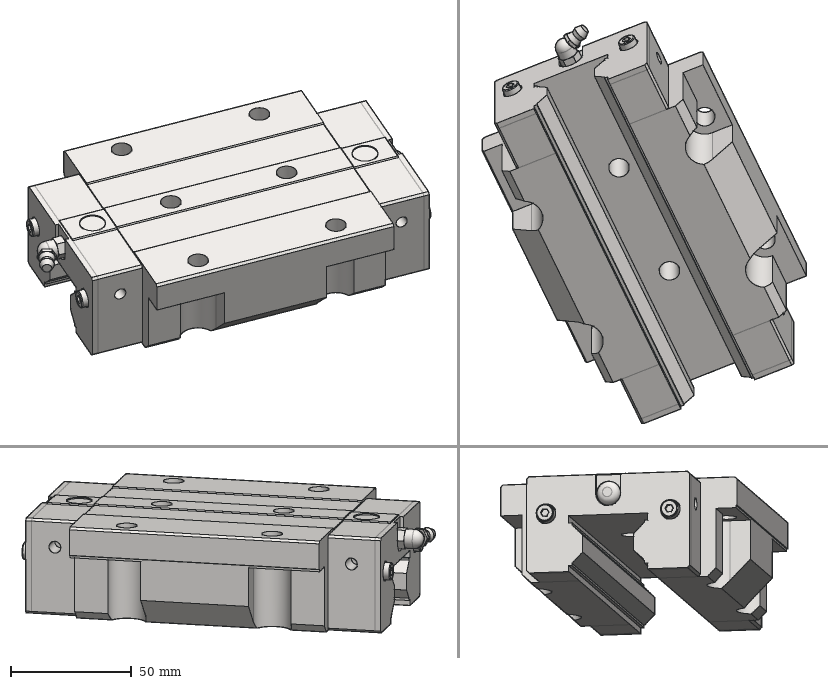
import cadquery as cq
import math

SIDES = (-1, 1)

BLOCK_WIDTH = 100.0
BLOCK_LENGTH = 106.5
BLOCK_HEIGHT = 41.5
BLOCK_EDGE_CHAMFER = 1.0
BLOCK_BOTTOM_CHAMFER = 12.5
DATUM_RELIEF_DEPTH = 0.5
DATUM_EDGE_Z = 29.5

GROOVE_DEPTH = 0.5
STRIP_HALF_WIDTH = 6.9
GROOVE_OUTER_X = 25.4

HOLE_DIAMETER = 8.5
OUTER_HOLE_PITCH_X = 82.0
OUTER_HOLE_PITCH_Y = 62.0
CENTRE_HOLE_PITCH_Y = 52.0
POCKET_RADIUS = 8.0
FLANGE_BOTTOM_Z = 28.5

CHANNEL_TOP_Z = 23.5
CHANNEL_HALF_WIDTH = 16.7
CHANNEL_STEP_HALF_WIDTH = 15.3
CHANNEL_NECK_HALF_WIDTH = 10.75
CHANNEL_STEP_TOP_Z = 20.5
CHANNEL_STEP_BOTTOM_Z = 2.5
NECK_TOP_Z = 15.1
NECK_BOTTOM_Z = 8.0

CAP_WIDTH = 69.0
CAP_HEIGHT = 40.5
CAP_CHAMFER = 1.0
CAP_LENGTH = 20.0
PLATE_THICKNESS = 2.5
CAP_PORT_DIAMETER = 10.7
CAP_PORT_DEPTH = 0.5
CAP_PORT_OFFSET = 8.0
SIDE_PORT_DIAMETER = 5.0
SIDE_PORT_DEPTH = 10.0
SIDE_PORT_OFFSET = 10.0
SIDE_PORT_Z = 28.9

SCREW_X = 26.3
SCREW_Z = 24.7
SCREW_HEAD_DIAMETER = 7.3
SCREW_HEAD_CHAMFER = 0.4
SCREW_PROTRUSION = 2.75
SCREW_CLEARANCE_DIAMETER = 8.2
SOCKET_ACROSS_FLATS = 3.0
SOCKET_DEPTH = 1.5

PORT_Z = 32.6
PORT_SLOT_RADIUS = 5.3
PORT_SLOT_DEPTH = 1.5

PLUG_RADIUS = 5.0
PLUG_HEIGHT = 3.6
PLUG_FILLET = 3.0

NIPPLE_RADIUS = 4.0
NIPPLE_HEX_LENGTH = 4.0
ELBOW_OFFSET = 7.52
BRANCH_ANGLE = 22.5
FLANGE_HEX_ACROSS_FLATS = 7.0
FLANGE_START = 3.5
FLANGE_END = 5.0
COLLAR_RADIUS = 3.4
WAIST_DISTANCE = 7.4
WAIST_RADIUS = 2.6
HEAD_DISTANCE = 9.3
HEAD_RADIUS = 3.1
TIP_DISTANCE = 12.0
TIP_RADIUS = 2.0

BLOCK_END = BLOCK_LENGTH / 2
CAP_END = BLOCK_END + CAP_LENGTH
PLATE_END = CAP_END + PLATE_THICKNESS
SLOT_FLOOR = PLATE_END - PORT_SLOT_DEPTH


def along_y(profile_xz, start, end):
    """Extrude a closed XZ outline between two Y positions."""
    plane = cq.Workplane("XZ", origin=(0, start, 0))
    return plane.polyline(profile_xz).close().extrude(start - end)


def y_cylinder(x, z, diameter, start, end):
    plane = cq.Workplane("XZ", origin=(x, start, z))
    return plane.circle(diameter / 2).extrude(start - end)


def hexagon_size(across_flats):
    """Corner-to-corner size of a hexagon."""
    return across_flats / math.cos(math.radians(30))


def strip_profile(half_width, base_z, top_z):
    """Trapezoid with 45 degree flanks, narrowest at the top."""
    spread = half_width + top_z - base_z
    return [(-spread, base_z), (spread, base_z), (half_width, top_z), (-half_width, top_z)]


def make_block():
    half = BLOCK_WIDTH / 2
    relieved = half - DATUM_RELIEF_DEPTH
    foot = half - BLOCK_BOTTOM_CHAMFER
    block = along_y(
        [
            (-foot, 0),
            (foot, 0),
            (half, BLOCK_BOTTOM_CHAMFER),
            (half, BLOCK_HEIGHT - BLOCK_EDGE_CHAMFER),
            (half - BLOCK_EDGE_CHAMFER, BLOCK_HEIGHT),
            (-half + BLOCK_EDGE_CHAMFER, BLOCK_HEIGHT),
            (-half, BLOCK_HEIGHT - BLOCK_EDGE_CHAMFER),
            (-half, DATUM_EDGE_Z),
            (-relieved, DATUM_EDGE_Z),
            (-relieved, BLOCK_BOTTOM_CHAMFER - DATUM_RELIEF_DEPTH),
        ],
        -BLOCK_END,
        BLOCK_END,
    )
    return cut_mounting_pockets(cut_top_grooves(block))


def cut_top_grooves(block):
    floor_z = BLOCK_HEIGHT - GROOVE_DEPTH
    for side in SIDES:
        groove = along_y(
            [
                (side * STRIP_HALF_WIDTH, BLOCK_HEIGHT),
                (side * (STRIP_HALF_WIDTH + GROOVE_DEPTH), floor_z),
                (side * (GROOVE_OUTER_X - GROOVE_DEPTH), floor_z),
                (side * GROOVE_OUTER_X, BLOCK_HEIGHT),
            ],
            -BLOCK_END,
            BLOCK_END,
        )
        block = block.cut(groove)
    return block


def cut_mounting_pockets(block):
    """Clear the space below the flange around and outboard of each outer hole."""
    hole_x = OUTER_HOLE_PITCH_X / 2
    hole_y = OUTER_HOLE_PITCH_Y / 2
    relief_width = BLOCK_WIDTH / 2 - hole_x
    relief_length = BLOCK_END - (hole_y - POCKET_RADIUS)
    relief_x = hole_x + relief_width / 2
    relief_y = BLOCK_END - relief_length / 2
    for x_side in SIDES:
        for y_side in SIDES:
            relief = (
                cq.Workplane("XY")
                .center(x_side * relief_x, y_side * relief_y)
                .rect(relief_width, relief_length)
                .extrude(FLANGE_BOTTOM_Z)
            )
            pocket = (
                cq.Workplane("XY")
                .center(x_side * hole_x, y_side * hole_y)
                .circle(POCKET_RADIUS)
                .extrude(FLANGE_BOTTOM_Z)
            )
            block = block.cut(relief).cut(pocket)
    return block


def make_mounting_holes():
    outer = (
        cq.Workplane("XY")
        .rarray(OUTER_HOLE_PITCH_X, OUTER_HOLE_PITCH_Y, 2, 2)
        .circle(HOLE_DIAMETER / 2)
        .extrude(BLOCK_HEIGHT)
    )
    centre = (
        cq.Workplane("XY")
        .rarray(1, CENTRE_HOLE_PITCH_Y, 1, 2)
        .circle(HOLE_DIAMETER / 2)
        .extrude(BLOCK_HEIGHT)
    )
    return outer.union(centre)


def make_channel():
    right_side = [
        (CHANNEL_HALF_WIDTH, 0),
        (CHANNEL_HALF_WIDTH, CHANNEL_STEP_BOTTOM_Z),
        (CHANNEL_STEP_HALF_WIDTH, CHANNEL_STEP_BOTTOM_Z),
        (CHANNEL_STEP_HALF_WIDTH, NECK_BOTTOM_Z - CHANNEL_STEP_HALF_WIDTH + CHANNEL_NECK_HALF_WIDTH),
        (CHANNEL_NECK_HALF_WIDTH, NECK_BOTTOM_Z),
        (CHANNEL_NECK_HALF_WIDTH, NECK_TOP_Z),
        (CHANNEL_STEP_HALF_WIDTH, NECK_TOP_Z + CHANNEL_STEP_HALF_WIDTH - CHANNEL_NECK_HALF_WIDTH),
        (CHANNEL_STEP_HALF_WIDTH, CHANNEL_STEP_TOP_Z),
        (CHANNEL_HALF_WIDTH, CHANNEL_STEP_TOP_Z),
        (CHANNEL_HALF_WIDTH, CHANNEL_TOP_Z),
    ]
    left_side = [(-x, z) for x, z in reversed(right_side)]
    return along_y(right_side + left_side, -PLATE_END, PLATE_END)


def cap_section(start, end):
    section = cq.Workplane("XZ", origin=(0, start, CAP_HEIGHT / 2))
    return section.rect(CAP_WIDTH, CAP_HEIGHT).extrude(start - end).edges("|Y").chamfer(CAP_CHAMFER)


def make_cap(side):
    cap = cap_section(side * BLOCK_END, side * CAP_END)
    strip = along_y(
        strip_profile(STRIP_HALF_WIDTH, CAP_HEIGHT, CAP_HEIGHT + GROOVE_DEPTH),
        side * BLOCK_END,
        side * CAP_END,
    )
    cap = cap.union(strip)
    top_port = (
        cq.Workplane("XY", origin=(0, side * (BLOCK_END + CAP_PORT_OFFSET), CAP_HEIGHT + GROOVE_DEPTH))
        .circle(CAP_PORT_DIAMETER / 2)
        .extrude(-CAP_PORT_DEPTH)
    )
    cap = cap.cut(top_port)
    for x_side in SIDES:
        side_port = (
            cq.Workplane("YZ", origin=(x_side * CAP_WIDTH / 2, 0, 0))
            .center(side * (BLOCK_END + SIDE_PORT_OFFSET), SIDE_PORT_Z)
            .circle(SIDE_PORT_DIAMETER / 2)
            .extrude(-x_side * SIDE_PORT_DEPTH)
        )
        cap = cap.cut(side_port)
    return cap


def make_plate(side):
    plate = cap_section(side * CAP_END, side * PLATE_END)
    slot_round = y_cylinder(0, PORT_Z, 2 * PORT_SLOT_RADIUS, side * SLOT_FLOOR, side * PLATE_END)
    slot_neck = along_y(
        [
            (-PORT_SLOT_RADIUS, PORT_Z),
            (PORT_SLOT_RADIUS, PORT_Z),
            (PORT_SLOT_RADIUS, CAP_HEIGHT),
            (-PORT_SLOT_RADIUS, CAP_HEIGHT),
        ],
        side * SLOT_FLOOR,
        side * PLATE_END,
    )
    plate = plate.cut(slot_round).cut(slot_neck)
    for x_side in SIDES:
        clearance = y_cylinder(
            x_side * SCREW_X, SCREW_Z, SCREW_CLEARANCE_DIAMETER, side * CAP_END, side * PLATE_END
        )
        plate = plate.cut(clearance)
    return plate


def make_screw(x, side):
    tip = side * (PLATE_END + SCREW_PROTRUSION)
    head = y_cylinder(x, SCREW_Z, SCREW_HEAD_DIAMETER, side * CAP_END, tip)
    head = head.faces(">Y" if side > 0 else "<Y").chamfer(SCREW_HEAD_CHAMFER)
    socket = (
        cq.Workplane("XZ", origin=(x, tip, SCREW_Z))
        .polygon(6, hexagon_size(SOCKET_ACROSS_FLATS))
        .extrude(side * SOCKET_DEPTH)
    )
    return head.cut(socket)


def make_plug():
    plug = y_cylinder(0, PORT_Z, 2 * PLUG_RADIUS, SLOT_FLOOR, SLOT_FLOOR + PLUG_HEIGHT)
    return plug.faces(">Y").edges().fillet(PLUG_FILLET)


def make_nipple():
    elbow_y = -SLOT_FLOOR - ELBOW_OFFSET
    base = (
        cq.Workplane("XZ", origin=(0, -SLOT_FLOOR, PORT_Z))
        .polygon(6, hexagon_size(2 * NIPPLE_RADIUS))
        .extrude(NIPPLE_HEX_LENGTH)
    )
    stem = y_cylinder(0, PORT_Z, 2 * NIPPLE_RADIUS, -SLOT_FLOOR, elbow_y)
    elbow = cq.Workplane("XY", origin=(0, elbow_y, PORT_Z)).sphere(NIPPLE_RADIUS)
    branch = make_branch().rotate((0, 0, 0), (0, 0, 1), -BRANCH_ANGLE).translate((0, elbow_y, PORT_Z))
    return base.union(stem).union(elbow).union(branch)


def make_branch():
    """Outlet of the nipple, running along +X from the elbow centre."""
    flange = (
        cq.Workplane("YZ", origin=(FLANGE_START, 0, 0))
        .polygon(6, hexagon_size(FLANGE_HEX_ACROSS_FLATS))
        .extrude(FLANGE_END - FLANGE_START)
    )
    outlet = (
        cq.Workplane("XY")
        .moveTo(0, 0)
        .lineTo(0, WAIST_RADIUS)
        .lineTo(FLANGE_START, WAIST_RADIUS)
        .lineTo(FLANGE_END, COLLAR_RADIUS)
        .lineTo(WAIST_DISTANCE, WAIST_RADIUS)
        .lineTo(HEAD_DISTANCE, HEAD_RADIUS)
        .lineTo(TIP_DISTANCE, TIP_RADIUS)
        .lineTo(TIP_DISTANCE, 0)
        .close()
        .revolve(360, (0, 0, 0), (1, 0, 0))
    )
    return flange.union(outlet)


def make_carriage():
    carriage = make_block()
    for side in SIDES:
        carriage = carriage.union(make_cap(side), clean=False)
        carriage = carriage.union(make_plate(side), clean=False)
    carriage = carriage.cut(make_channel(), clean=False)
    carriage = carriage.cut(make_mounting_holes(), clean=False)
    for side in SIDES:
        for x_side in SIDES:
            carriage = carriage.union(make_screw(x_side * SCREW_X, side), clean=False)
    carriage = carriage.union(make_plug(), clean=False)
    return carriage.union(make_nipple(), clean=False)


result = make_carriage()